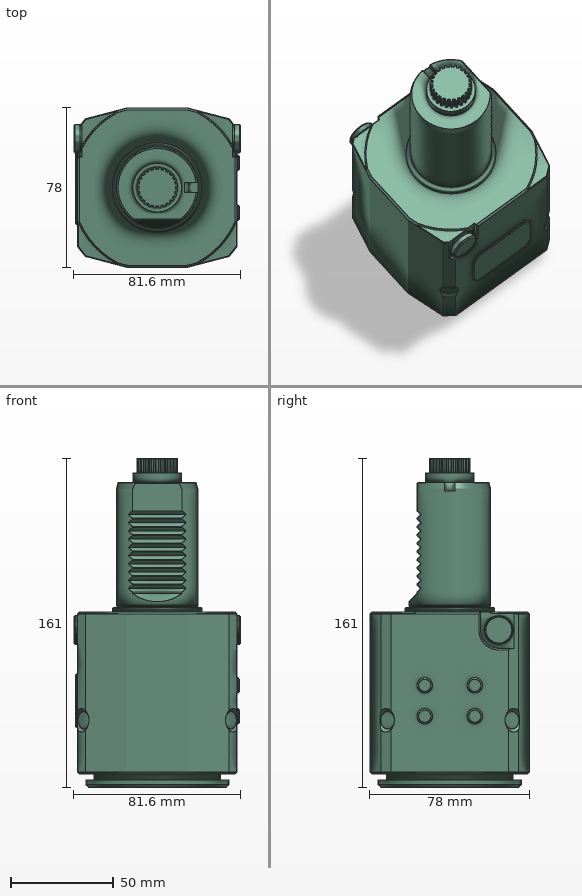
import cadquery as cq
import math

BODY_BOTTOM = 6.8
BODY_TOP = 86.0
COLLAR_TOP = 88.0
SHANK_TOP = 149.2
HUB_TOP = 153.9
SPLINE_TOP = 161.0

HALF_WIDTH = 39.0
FRONT_FLAT_HALF = 14.8
CORNER_X = 35.1
CORNER_Y = 33.6
SIDE_FLAT_HALF = 28.8
BODY_CHAMFER = 1.0
LAND_RADIUS = 41.5
CORNER_STEP = 0.6

NECK_DIAMETER = 62.0
FLANGE_DIAMETER = 70.0
FLANGE_HEIGHT = 3.9
FLANGE_CHAMFER = 1.6

COLLAR_DIAMETER = 44.0
COLLAR_FILLET = 0.8
SHANK_DIAMETER = 40.0
SHANK_FOOT_HEIGHT = 1.3
SHANK_FOOT_INSET = 0.5
SHANK_TAPER_HEIGHT = 3.0
SHANK_TAPER_INSET = 0.8

FLAT_Y = -16.0
FLAT_CHAMFER = 0.5
FLAT_BOTTOM = 95.0
TOOTH_COUNT = 10
TOOTH_PITCH = 4.0
TOOTH_DEPTH = 1.8
FIRST_ROOT_Z = 133.6

KEYWAY_WIDTH = 5.0
KEYWAY_START = 13.2
KEYWAY_FLOOR_START = 15.5
KEYWAY_DEPTH = 4.0

HUB_DIAMETER = 23.8
SPLINE_DIAMETER = 20.1
SPLINE_ROOT_DIAMETER = 17.9
SPLINE_COUNT = 24
SPLINE_ROOT_GAP = 1.1
SPLINE_TIP_GAP = 2.0

BUTTON_Y = 24.0
BUTTON_Z = 77.1
BUTTON_DIAMETER = 14.0
BUTTON_CHAMFER = 0.6
BUTTON_NECK_DIAMETER = 13.4
BUTTON_HEAD_X = 37.8
OVERALL_X = 81.6
BUTTON_OUTER_X = OVERALL_X / 2
POCKET_DIAMETER = 17.9
POCKET_FLOOR_X = 36.9
POCKET_CHAMFER = 0.8

PLATE_WIDTH = 36.0
PLATE_HEIGHT = 26.2
PLATE_CORNER_DIAMETER = 40.0
PLATE_CHAMFER = 0.5
PLATE_THICKNESS = 1.0
PLATE_Z = 42.5
STUD_DIAMETER = 7.5
STUD_HEIGHT = 1.3
STUD_CHAMFER = 0.8
STUD_SPACING_Y = 24.5
STUD_SPACING_Z = 15.1

RECESS_Z = 33.0
RECESS_DIAMETER = 8.5
RECESS_DEPTH = 1.3
RECESS_RIM_DIAMETER = 11.5


def disc(diameter, bottom, top):
    return cq.Workplane("XY").workplane(offset=bottom).circle(diameter / 2).extrude(top - bottom)


def make_body():
    """Twelve-sided block whose corners drop a little below a round land at each end."""
    quarter = [(HALF_WIDTH, SIDE_FLAT_HALF), (CORNER_X, CORNER_Y), (FRONT_FLAT_HALF, HALF_WIDTH)]
    right = [(x, -y) for x, y in quarter[::-1]] + quarter
    left = [(-x, -y) for x, y in right]
    height = BODY_TOP - BODY_BOTTOM
    block = cq.Workplane("XY").workplane(offset=BODY_BOTTOM).polyline(right + left).close().extrude(height)
    block = block.faces("<Z or >Z").chamfer(BODY_CHAMFER)
    reach = 2 * HALF_WIDTH
    profile = [
        (0, BODY_BOTTOM),
        (LAND_RADIUS, BODY_BOTTOM),
        (LAND_RADIUS + CORNER_STEP, BODY_BOTTOM + CORNER_STEP),
        (reach, BODY_BOTTOM + CORNER_STEP),
        (reach, BODY_TOP - CORNER_STEP),
        (LAND_RADIUS + CORNER_STEP, BODY_TOP - CORNER_STEP),
        (LAND_RADIUS, BODY_TOP),
        (0, BODY_TOP),
    ]
    turned = cq.Workplane("XZ").polyline(profile).close().revolve(360, (0, 0), (0, 1))
    return block.intersect(turned)


def make_base():
    flange = disc(FLANGE_DIAMETER, 0, FLANGE_HEIGHT).faces("<Z").chamfer(FLANGE_CHAMFER)
    return flange.union(disc(NECK_DIAMETER, FLANGE_HEIGHT, BODY_BOTTOM))


def make_shank():
    """Collar and shank, turned as one profile."""
    collar = COLLAR_DIAMETER / 2
    radius = SHANK_DIAMETER / 2
    fillet_reach = COLLAR_FILLET * math.sqrt(0.5)
    fillet_middle = (collar - COLLAR_FILLET + fillet_reach, COLLAR_TOP - COLLAR_FILLET + fillet_reach)
    profile = (
        cq.Workplane("XZ")
        .moveTo(0, BODY_TOP)
        .lineTo(collar, BODY_TOP)
        .lineTo(collar, COLLAR_TOP - COLLAR_FILLET)
        .threePointArc(fillet_middle, (collar - COLLAR_FILLET, COLLAR_TOP))
        .lineTo(radius - SHANK_FOOT_INSET, COLLAR_TOP)
        .lineTo(radius, COLLAR_TOP + SHANK_FOOT_HEIGHT)
        .lineTo(radius, SHANK_TOP - SHANK_TAPER_HEIGHT)
        .lineTo(radius - SHANK_TAPER_INSET, SHANK_TOP)
        .lineTo(0, SHANK_TOP)
        .close()
    )
    return profile.revolve(360, (0, 0), (0, 1))


def toothed_flat_cutter():
    """Flat with a 45 degree run-out at its foot and 90 degree V grooves across it."""
    outer_y = -SHANK_DIAMETER
    run_out = FLAT_Y - outer_y
    outline = [
        (outer_y, SHANK_TOP),
        (FLAT_Y + FLAT_CHAMFER, SHANK_TOP),
        (FLAT_Y, SHANK_TOP - FLAT_CHAMFER),
    ]
    for i in range(TOOTH_COUNT):
        root_z = FIRST_ROOT_Z - i * TOOTH_PITCH
        outline.append((FLAT_Y, root_z + TOOTH_DEPTH))
        outline.append((FLAT_Y + TOOTH_DEPTH, root_z))
        outline.append((FLAT_Y, root_z - TOOTH_DEPTH))
    outline.append((FLAT_Y, FLAT_BOTTOM))
    outline.append((outer_y, FLAT_BOTTOM - run_out))
    half_length = SHANK_DIAMETER / 2
    cutter = cq.Workplane("YZ").polyline(outline).close().extrude(half_length, both=True)
    above_collar = disc(2 * SHANK_DIAMETER, COLLAR_TOP + SHANK_FOOT_HEIGHT, SHANK_TOP)
    return cutter.intersect(above_collar)


def keyway_cutter():
    """Slot open at the shank rim, with a sloping inner end."""
    floor_z = SHANK_TOP - KEYWAY_DEPTH
    outline = [
        (KEYWAY_START, SHANK_TOP),
        (KEYWAY_FLOOR_START, floor_z),
        (SHANK_DIAMETER, floor_z),
        (SHANK_DIAMETER, SHANK_TOP),
    ]
    return cq.Workplane("XZ").polyline(outline).close().extrude(KEYWAY_WIDTH / 2, both=True)


def make_hub():
    hub = disc(HUB_DIAMETER, SHANK_TOP, HUB_TOP)
    spline = disc(SPLINE_DIAMETER, HUB_TOP, SPLINE_TOP)
    root_x = SPLINE_ROOT_DIAMETER / 2
    tip_x = SPLINE_DIAMETER / 2
    gap = (
        cq.Workplane("XY")
        .workplane(offset=HUB_TOP)
        .polyline(
            [
                (root_x, -SPLINE_ROOT_GAP / 2),
                (tip_x, -SPLINE_TIP_GAP / 2),
                (tip_x, SPLINE_TIP_GAP / 2),
                (root_x, SPLINE_ROOT_GAP / 2),
            ]
        )
        .close()
        .extrude(SPLINE_TOP - HUB_TOP)
    )
    for i in range(SPLINE_COUNT):
        spline = spline.cut(gap.rotate((0, 0, 0), (0, 0, 1), i * 360 / SPLINE_COUNT))
    return hub.union(spline)


def button_pocket_cutter():
    """Pocket on the +X side, rounded around the button and open upward and toward +Y."""

    def prism(radius, x):
        return (
            cq.Workplane("YZ", origin=(x, BUTTON_Y, BUTTON_Z))
            .moveTo(-radius, 0)
            .threePointArc((-radius * math.sqrt(0.5), -radius * math.sqrt(0.5)), (0, -radius))
            .lineTo(HALF_WIDTH, -radius)
            .lineTo(HALF_WIDTH, HALF_WIDTH)
            .lineTo(-radius, HALF_WIDTH)
            .close()
        )

    radius = POCKET_DIAMETER / 2
    pocket = prism(radius, POCKET_FLOOR_X).extrude(HALF_WIDTH)
    rim = prism(radius + POCKET_CHAMFER, HALF_WIDTH).extrude(-POCKET_CHAMFER, taper=45)
    return pocket.union(rim)


def make_button():
    """Round head on a slightly narrower neck that stands on the pocket floor."""
    neck = (
        cq.Workplane("YZ", origin=(POCKET_FLOOR_X, BUTTON_Y, BUTTON_Z))
        .circle(BUTTON_NECK_DIAMETER / 2)
        .extrude(BUTTON_HEAD_X - POCKET_FLOOR_X)
    )
    head = (
        cq.Workplane("YZ", origin=(BUTTON_HEAD_X, BUTTON_Y, BUTTON_Z))
        .circle(BUTTON_DIAMETER / 2)
        .extrude(BUTTON_OUTER_X - BUTTON_HEAD_X)
    )
    return neck.union(head.faces(">X").chamfer(BUTTON_CHAMFER))


def make_plate():
    """Rectangular plate with its corners trimmed to a common circle."""
    side = cq.Workplane("YZ", origin=(-HALF_WIDTH, 0, PLATE_Z))
    rectangle = side.rect(PLATE_WIDTH, PLATE_HEIGHT).extrude(-PLATE_THICKNESS)
    trim = side.circle(PLATE_CORNER_DIAMETER / 2).extrude(-PLATE_THICKNESS)
    return rectangle.intersect(trim).faces("<X").chamfer(PLATE_CHAMFER)


def make_studs():
    studs = (
        cq.Workplane("YZ", origin=(HALF_WIDTH, 0, PLATE_Z))
        .rarray(STUD_SPACING_Y, STUD_SPACING_Z, 2, 2)
        .circle(STUD_DIAMETER / 2)
        .extrude(STUD_HEIGHT)
    )
    return studs.faces(">X").chamfer(STUD_CHAMFER)


def corner_recess_cutter():
    """Conical recess square to the +X +Y corner face."""
    run_x = HALF_WIDTH - CORNER_X
    run_y = CORNER_Y - SIDE_FLAT_HALF
    middle = ((HALF_WIDTH + CORNER_X) / 2, (SIDE_FLAT_HALF + CORNER_Y) / 2, RECESS_Z)
    face = cq.Workplane(cq.Plane(origin=middle, xDir=(0, 0, 1), normal=(run_y, run_x, 0)))
    slope = (RECESS_RIM_DIAMETER - RECESS_DIAMETER) / 2 / RECESS_DEPTH
    return (
        face.workplane(offset=-RECESS_DEPTH)
        .circle(RECESS_DIAMETER / 2)
        .extrude(2 * RECESS_DEPTH, taper=-math.degrees(math.atan(slope)))
    )


result = make_body()
recess = corner_recess_cutter()
pocket = button_pocket_cutter()
for cutter in (recess, recess.mirror("XZ")):
    result = result.cut(cutter).cut(cutter.mirror("YZ"))
result = result.cut(pocket).cut(pocket.mirror("YZ"))

shank = make_shank().cut(toothed_flat_cutter()).cut(keyway_cutter())
button = make_button()
for feature in (make_base(), shank, make_hub(), button, button.mirror("YZ"), make_plate(), make_studs()):
    result = result.union(feature)